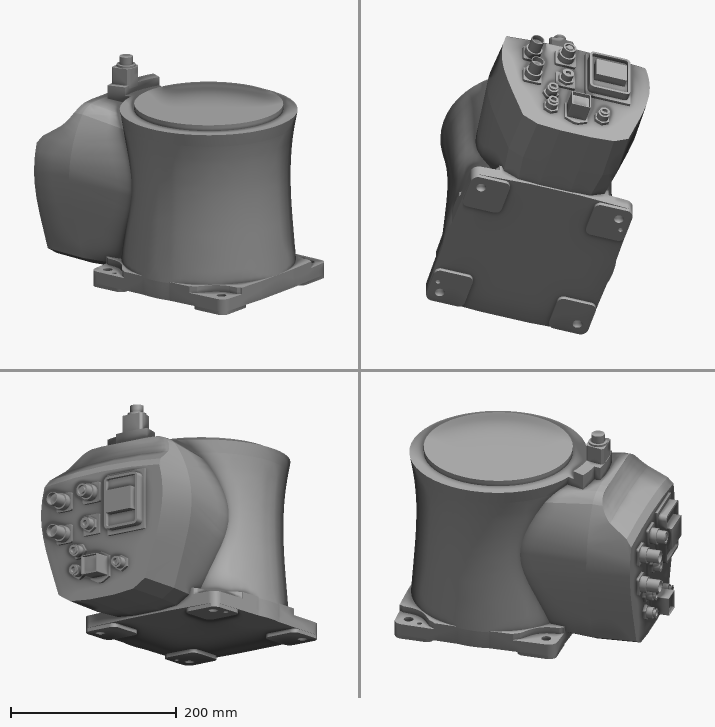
import cadquery as cq

rim_radius = 107.5
rim_top = 217.0
rim_bottom = 201.5
rim_bottom_radius = 104.5
waist_radius = 99.0
waist_height = 138.0
lower_radius = 101.0
lower_height = 80.8
column_base_radius = 105.5
column_flare_bottom = 26.3
column_bottom = 4.5
cap_diameter = 180.0
cap_top = 224.3

plate_half = 101.8
plate_mid_x = 105.5
plate_mid_y = 103.5
plate_top = 28.0
plate_corner_radius = 11.0
foot_length = 48.5
foot_corner_radius = 8.0
pad_height = 19.7
mount_hole_diameter = 11.8
mount_hole_offset = 86.7
dowel_hole_diameter = 6.0
dowel_x = 71.0
dowel_y = 93.5
quadrants = [(sx, sy) for sx in (-1, 1) for sy in (-1, 1)]

face_x = -194.0
seam_x = -139.5
housing_end_x = -33.0
housing_top = 211.5
housing_bottom = 7.0
face_draft = 1.5
rear_taper = 0.13
crown_radius = 738.8

panel_thickness = 3.3
panel_x = face_x - panel_thickness
nut_corner_diameter = 20.0
upright_nut = 30
socket_diameter = 14.0
socket_bore = 7.0
socket_tip_x = -209.5

bracket_bottom = 203.0
bracket_top = 227.5
bracket_back_radius = 115.0
plug_x = -125.8
plug_front_x = -137.3
plug_back_x = -113.3
plug_body_bottom = 223.5
plug_shoulder = 248.2
plug_collar_top = 251.0
plug_collar_diameter = 23.0
plug_pin_diameter = 16.0
plug_pin_top = 260.7


def rod(y, z, diameter, x_start, x_end):
    """Cylinder along X that runs forward from x_start to x_end."""
    return cq.Workplane("YZ", origin=(x_start, y, z)).circle(diameter / 2).extrude(x_end - x_start)


def block(y, z, width, height, x_start, x_end, corner_radius=0):
    """Box on the front panel, with optional rounded edges along X."""
    box = cq.Workplane("YZ", origin=(x_start, y, z)).rect(width, height).extrude(x_end - x_start)
    if corner_radius:
        box = box.edges("|X").fillet(corner_radius)
    return box


def make_column():
    body = (
        cq.Workplane("XZ")
        .moveTo(0, column_bottom)
        .lineTo(column_base_radius, column_bottom)
        .lineTo(column_base_radius, column_flare_bottom)
        .spline(
            [(lower_radius, lower_height), (waist_radius, waist_height), (rim_bottom_radius, rim_bottom)],
            includeCurrent=True,
        )
        .lineTo(rim_radius, rim_top)
        .lineTo(0, rim_top)
        .close()
        .revolve(360, (0, 0, 0), (0, 1, 0))
    )
    cap = cq.Workplane("XY", origin=(0, 0, rim_top)).circle(cap_diameter / 2).extrude(cap_top - rim_top)
    return body.union(cap)


def make_corner_pocket():
    """Lowered pad around the mounting hole in the (+X, +Y) corner."""
    outside = plate_half + 6.5
    mouth_x = 50.0
    mouth_y = 68.5
    return (
        cq.Workplane("XY", origin=(0, 0, pad_height))
        .moveTo(mouth_x, outside)
        .lineTo(mouth_x, plate_half)
        .lineTo(57.0, 97.2)
        .lineTo(65.0, 86.7)
        .threePointArc((75.2, 77.2), (87.0, 72.5))
        .lineTo(98.5, 71.3)
        .lineTo(plate_half, mouth_y)
        .lineTo(outside, mouth_y)
        .lineTo(outside, outside)
        .close()
        .extrude(plate_top)
    )


def make_base():
    foot_center = plate_half - foot_length / 2
    straight_x = 21.5
    straight_y = 31.2
    outline = [
        (plate_mid_x, -straight_y), (plate_mid_x, straight_y), (plate_half, plate_half),
        (straight_x, plate_mid_y), (-straight_x, plate_mid_y), (-plate_half, plate_half),
        (-plate_mid_x, straight_y), (-plate_mid_x, -straight_y), (-plate_half, -plate_half),
        (-straight_x, -plate_mid_y), (straight_x, -plate_mid_y), (plate_half, -plate_half),
    ]
    slab = cq.Workplane("XY").polyline(outline).close().extrude(plate_top)
    slab = slab.edges("|Z").fillet(plate_corner_radius)
    under_side = cq.Workplane("XY").rect(4 * plate_half, 4 * plate_half).extrude(column_bottom)
    plate = slab.cut(under_side)
    feet = (
        cq.Workplane("XY")
        .pushPoints([(sx * foot_center, sy * foot_center) for sx, sy in quadrants])
        .rect(foot_length, foot_length)
        .extrude(column_bottom)
        .edges("|Z")
        .fillet(foot_corner_radius)
    )
    base = plate.union(feet.intersect(slab))

    pocket = make_corner_pocket()
    mirrored = pocket.mirror("YZ")
    for corner in (pocket, mirrored, pocket.mirror("XZ"), mirrored.mirror("XZ")):
        base = base.cut(corner)
    return base


def make_base_holes():
    mounts = [(sx * mount_hole_offset, sy * mount_hole_offset) for sx, sy in quadrants]
    dowels = [(dowel_x, dowel_y), (-dowel_x, -dowel_y)]
    mount_holes = cq.Workplane("XY").pushPoints(mounts).circle(mount_hole_diameter / 2).extrude(pad_height)
    dowel_holes = cq.Workplane("XY").pushPoints(dowels).circle(dowel_hole_diameter / 2).extrude(pad_height)
    return mount_holes.union(dowel_holes)


def housing_section(sketch, inset, bottom):
    """Pear-shaped cross-section; inset pulls in the sides and the top."""
    top = housing_top - inset
    shoulder_inset = 0.3 * inset
    ridge = (36.8 - shoulder_inset, top)
    top_edge = (51.5 - shoulder_inset, top - 1.0)
    shoulder_mid = (61.0 - shoulder_inset, top - 4.5)
    shoulder = (68.5 - shoulder_inset, top - 10.5)
    side = [
        (87.0 - 0.7 * inset, top - 43.7),
        (95.0 - inset, 126.7),
        (84.7 - inset, 71.3),
        (68.0 - inset, bottom + 13.0),
    ]
    lower_corner = (50.0 - inset, bottom + 2.5)
    keel = (19.7, bottom)

    def mirrored(point):
        return (-point[0], point[1])

    left_side = [mirrored(point) for point in reversed(side[:-1])] + [mirrored(shoulder)]
    return (
        sketch
        .moveTo(*mirrored(ridge))
        .lineTo(*ridge)
        .lineTo(*top_edge)
        .threePointArc(shoulder_mid, shoulder)
        .spline(side, includeCurrent=True)
        .lineTo(*lower_corner)
        .lineTo(*keel)
        .lineTo(*mirrored(keel))
        .lineTo(*mirrored(lower_corner))
        .lineTo(*mirrored(side[-1]))
        .spline(left_side, includeCurrent=True)
        .threePointArc(mirrored(shoulder_mid), mirrored(top_edge))
        .close()
    )


def make_brow_scoop():
    """Hollow above the panel, crowned across Y by turning about a low axis along X."""
    brow_height = 165.0
    brow_back_x = -149.0
    front_x = face_x - 3.3
    above = housing_top + 16.5
    pivot_height = brow_height - crown_radius
    scoop_arc = 30
    return (
        cq.Workplane("XZ")
        .moveTo(front_x, brow_height - 4.3)
        .lineTo(face_x + 6.5, brow_height + 9.0)
        .lineTo(-165.0, 187.8)
        .threePointArc((-156.0, 197.5), (brow_back_x, housing_top))
        .lineTo(brow_back_x, above)
        .lineTo(front_x, above)
        .close()
        .revolve(scoop_arc, (0, pivot_height, 0), (1, pivot_height, 0))
        .rotate((0, 0, pivot_height), (1, 0, pivot_height), -scoop_arc / 2)
    )


def make_housing():
    rear_length = housing_end_x - seam_x
    rear_inset = rear_taper * rear_length
    face = cq.Workplane("YZ", origin=(face_x, 0, 0))
    sections = housing_section(face, face_draft, housing_bottom + face_draft)
    sections = housing_section(sections.workplane(offset=seam_x - face_x), 0, housing_bottom)
    sections = housing_section(sections.workplane(offset=rear_length), rear_inset, housing_bottom)
    housing = sections.loft(ruled=True)
    return housing.cut(make_brow_scoop())


def make_nut(y, z, turn, x_start, x_end):
    """Hex nut with its axis along X."""
    return (
        cq.Workplane("YZ", origin=(x_start, y, z))
        .transformed(rotate=(0, 0, turn))
        .polygon(6, nut_corner_diameter)
        .extrude(x_end - x_start)
    )


def make_small_socket(y, z, nut_turn):
    """Hex nut, threaded body, neck and lip with a shallow bore."""
    nut_x = face_x - 4.0
    body_x = -205.5
    lip_x = -208.5
    neck_diameter = 9.0
    lip_diameter = 12.0
    socket = make_nut(y, z, nut_turn, face_x, nut_x)
    socket = socket.union(rod(y, z, socket_diameter, nut_x, body_x))
    socket = socket.union(rod(y, z, neck_diameter, body_x, lip_x))
    socket = socket.union(rod(y, z, lip_diameter, lip_x, socket_tip_x))
    return socket.cut(rod(y, z, socket_bore, socket_tip_x, body_x))


def make_plated_socket(y, z):
    """Square plate carrying a hex nut and a plain socket."""
    nut_x = panel_x - 3.5
    plate_width = 24.0
    plate_height = 25.0
    bore_depth = 3.3
    socket = block(y, z, plate_width, plate_height, face_x, panel_x, 1.3)
    socket = socket.union(make_nut(y, z, upright_nut, panel_x, nut_x))
    socket = socket.union(rod(y, z, socket_diameter, nut_x, socket_tip_x))
    return socket.cut(rod(y, z, socket_bore, socket_tip_x, socket_tip_x + bore_depth))


def make_round_plug(y, z, plate_width, plate_height, tip_x, bore_diameter, bore_depth):
    """Hollow round plug on a rounded mounting plate."""
    collar_x = -205.5
    collar_diameter = 20.0
    barrel_diameter = 16.0
    plate_corner = 2.5
    plug = block(y, z, plate_width, plate_height, face_x, panel_x, plate_corner)
    plug = plug.union(rod(y, z, collar_diameter, panel_x, collar_x))
    plug = plug.union(rod(y, z, barrel_diameter, collar_x, tip_x))
    return plug.cut(rod(y, z, bore_diameter, tip_x, tip_x + bore_depth))


def make_power_inlet():
    y = -39.5
    z = 120.2
    frame_x = -207.5
    recess_floor_x = -202.5
    insert_x = -212.8
    flange = block(y, z, 56.8, 75.2, face_x, panel_x)
    frame = block(y, z, 51.0, 65.0, panel_x, frame_x, 6.0)
    recess = block(y, z, 44.5, 58.8, frame_x, recess_floor_x, 3.0)
    insert = block(y, z, 38.5, 28.0, recess_floor_x, insert_x)
    return flange.union(frame).cut(recess).union(insert)


def make_square_port():
    y = 0.3
    z = 45.0
    half_width = 14.0
    shoulder = 13.0
    flat = 2.5
    tip = 19.0
    port_x = -218.7
    shell_width = 23.5
    opening_width = 21.7
    opening_depth = 5.0
    plate = (
        cq.Workplane("YZ", origin=(face_x, y, z))
        .polyline([
            (half_width, -shoulder), (half_width, shoulder), (flat, tip), (-flat, tip),
            (-half_width, shoulder), (-half_width, -shoulder), (-flat, -tip), (flat, -tip),
        ])
        .close()
        .extrude(-panel_thickness)
    )
    shell = block(y, z, shell_width, shell_width, panel_x, port_x, 1.0)
    opening = block(y, z, opening_width, opening_width, port_x, port_x + opening_depth)
    return plate.union(shell).cut(opening)


def make_panel():
    panel = make_power_inlet().union(make_square_port())

    large_plug_y = 55.5
    large_plate = 23.0
    large_tip_x = -221.0
    for z in (135.0, 95.0):
        panel = panel.union(make_round_plug(large_plug_y, z, large_plate, large_plate, large_tip_x, 14.0, 6.2))

    data_y = 13.8
    data_z = 140.0
    data_tip_x = -216.0
    data_bore_depth = 3.3
    pin_diameter = 8.0
    data_plug = make_round_plug(data_y, data_z, 26.0, 25.0, data_tip_x, 11.8, data_bore_depth)
    contact_pin = rod(data_y, data_z, pin_diameter, data_tip_x + data_bore_depth, data_tip_x)
    plated_socket_z = 100.0
    panel = panel.union(data_plug).union(contact_pin).union(make_plated_socket(data_y, plated_socket_z))

    small_y = 32.2
    low_z = 45.0
    high_z = 69.5
    for y, z, turn in ((small_y, high_z, 0), (small_y, low_z, upright_nut), (-small_y, low_z, upright_nut)):
        panel = panel.union(make_small_socket(y, z, turn))
    return panel


def make_top_connector():
    """Bracket beside the rim with an upright round plug on a tapered body."""
    root_x = -95.2
    body_front_half = 16.0
    body_back_half = 10.5
    body_chamfer = 3.0
    bracket = (
        cq.Workplane("XY", origin=(0, 0, bracket_bottom))
        .moveTo(root_x, 35.8)
        .lineTo(-121.5, 48.5)
        .threePointArc((-125.5, 35.8), (-127.7, 22.5))
        .lineTo(-136.0, 24.3)
        .threePointArc((-138.0, 0), (-136.0, -24.0))
        .lineTo(root_x, -13.0)
        .close()
        .extrude(bracket_top - bracket_bottom)
    )
    relief = cq.Workplane("XY", origin=(0, 0, rim_top)).circle(bracket_back_radius).extrude(bracket_top)
    body = (
        cq.Workplane("XY", origin=(0, 0, plug_body_bottom))
        .polyline([
            (plug_front_x, body_front_half), (plug_back_x, body_back_half),
            (plug_back_x, -body_back_half), (plug_front_x, -body_front_half),
        ])
        .close()
        .extrude(plug_shoulder - plug_body_bottom)
        .edges("|Z")
        .chamfer(body_chamfer)
    )
    collar = (
        cq.Workplane("XY", origin=(plug_x, 0, plug_shoulder))
        .circle(plug_collar_diameter / 2)
        .extrude(plug_collar_top - plug_shoulder)
    )
    pin = (
        cq.Workplane("XY", origin=(plug_x, 0, plug_shoulder))
        .circle(plug_pin_diameter / 2)
        .extrude(plug_pin_top - plug_shoulder)
    )
    return bracket.cut(relief).union(body).union(collar).union(pin)


result = (
    make_column()
    .union(make_housing())
    .union(make_base())
    .union(make_panel())
    .union(make_top_connector())
    .cut(make_base_holes())
)